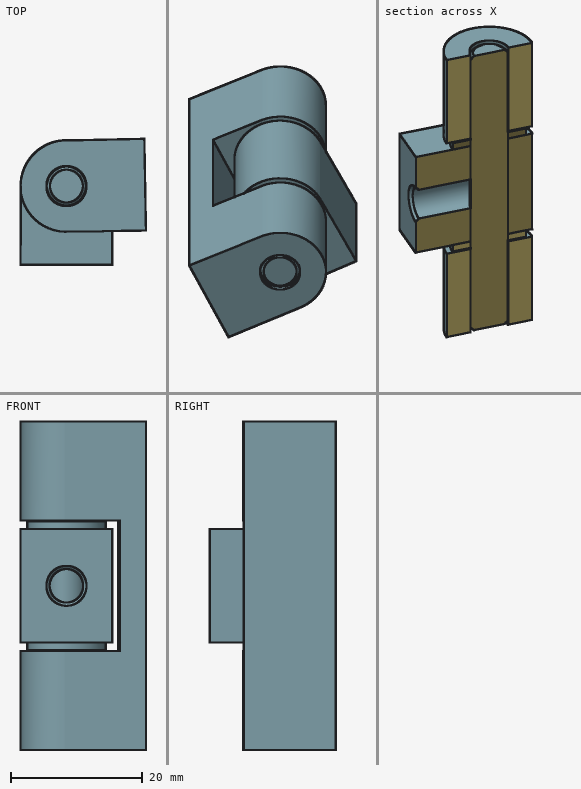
import cadquery as cq

HINGE_HEIGHT = 50.0

LEAF_ROUND_REACH = 7.0
LEAF_REACH = 12.0
LEAF_END_WIDTH = 14.0
LEAF_ROUND_WIDTH = 13.9
LEAF_ROUND_OFFSET = 0.35

FRAME_ANGLE = 1.0
BLOCK_ANGLE = -90.0

WINDOW_HEIGHT = 19.8
WINDOW_REACH = 8.0

BLOCK_HEIGHT = 17.3
SCREW_DIAMETER = 5.1
SCREW_CHAMFER = 0.5

WASHER_DIAMETER = 12.0
WASHER_CLEARANCE = 0.1
WASHER_THICKNESS = (WINDOW_HEIGHT - BLOCK_HEIGHT) / 2 - WASHER_CLEARANCE

PIN_DIAMETER = 6.0
PIN_RECESS = 0.25
PIN_LENGTH = HINGE_HEIGHT - 2 * PIN_RECESS
PIN_CHAMFER = 0.5
FRAME_BORE = 6.1
RUNNING_BORE = 6.05


def axis_cylinder(diameter, height):
    """Cylinder on the hinge axis, centred on Z = 0."""
    return cq.Workplane("XY", origin=(0, 0, -height / 2)).circle(diameter / 2).extrude(height)


def swing(body, angle):
    """Turn a body about the hinge axis."""
    return body.rotate((0, 0, 0), (0, 0, 1), angle)


def leaf(height, bore):
    """Bored leaf reaching along +X, rounded about the hinge axis and slightly wider at its flat end."""
    round_y = LEAF_ROUND_WIDTH / 2
    end_y = LEAF_END_WIDTH / 2
    body = (
        cq.Workplane("XY", origin=(0, 0, -height / 2))
        .moveTo(LEAF_REACH, -end_y)
        .lineTo(LEAF_REACH, end_y)
        .lineTo(-LEAF_ROUND_OFFSET, round_y)
        .threePointArc((-LEAF_ROUND_REACH, 0), (-LEAF_ROUND_OFFSET, -round_y))
        .close()
        .extrude(height)
    )
    return body.cut(axis_cylinder(bore, height))


def make_frame():
    """Long leaf with a gap in the middle for the block leaf and the washers."""
    window_length = LEAF_ROUND_REACH + WINDOW_REACH
    window_center_x = WINDOW_REACH - window_length / 2
    window = (
        cq.Workplane("XY")
        .box(window_length, LEAF_END_WIDTH, WINDOW_HEIGHT)
        .translate((window_center_x, 0, 0))
    )
    return swing(leaf(HINGE_HEIGHT, FRAME_BORE).cut(window), FRAME_ANGLE)


def make_block():
    """Short leaf reaching along -Y, with a countersunk screw hole from its flat end to the bore."""
    screw_radius = SCREW_DIAMETER / 2
    end_center = cq.Vector(LEAF_REACH, 0, 0)
    inward = cq.Vector(-1, 0, 0)
    screw_hole = cq.Solid.makeCylinder(screw_radius, LEAF_REACH, end_center, inward)
    countersink = cq.Solid.makeCone(
        screw_radius + SCREW_CHAMFER, screw_radius, SCREW_CHAMFER, end_center, inward
    )
    block = leaf(BLOCK_HEIGHT, RUNNING_BORE).cut(cq.Workplane(screw_hole)).cut(cq.Workplane(countersink))
    return swing(block, BLOCK_ANGLE)


def make_washer(side):
    """Washer resting on the block leaf: side +1 is above it, -1 below."""
    ring = axis_cylinder(WASHER_DIAMETER, WASHER_THICKNESS).cut(
        axis_cylinder(RUNNING_BORE, WASHER_THICKNESS)
    )
    return ring.translate((0, 0, side * (BLOCK_HEIGHT + WASHER_THICKNESS) / 2))


def make_pin():
    """Hinge pin with chamfered ends, set just below both faces of the frame leaf."""
    return axis_cylinder(PIN_DIAMETER, PIN_LENGTH).faces("<Z or >Z").chamfer(PIN_CHAMFER)


frame = make_frame()
block = make_block()
washers = [make_washer(side) for side in (1, -1)]
pin = make_pin()

result = cq.Compound.makeCompound(
    [frame.val(), block.val(), *[washer.val() for washer in washers], pin.val()]
)